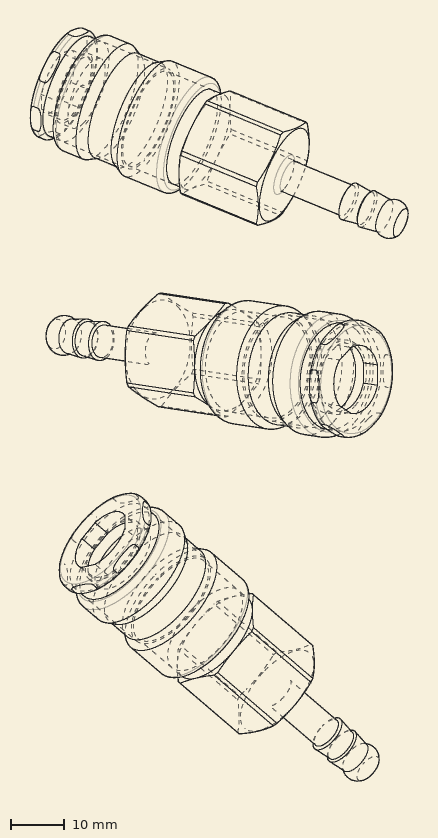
import cadquery as cq
import math


NOSE_LENGTH = 2.5
NOSE_DIAMETER = 21.9
NOSE_ACROSS_FLATS = 21.0
NOSE_FILLET = 0.8
NECK_DIAMETER = 20.0

BORE_DIAMETER = 12.8
INNER_BORE_DIAMETER = 14.0
BORE_DEPTH = 6.1
BORE_FLAT_COUNT = 3
BORE_FLAT_DISTANCE = 6.1
BORE_FLAT_DEPTH = 3.45

SLEEVE_START = 5.15
SLEEVE_END = 28.75
SLEEVE_DIAMETER = 23.15
SLEEVE_FRONT_FILLET = 1.1
SLEEVE_REAR_FILLET = 0.95
WAIST_DIAMETER = 21.0
FRONT_TAPER_START = 10.5
WAIST_START = 12.5
WAIST_END = 17.4
REAR_TAPER_END = 19.3

BARREL_DIAMETER = 18.95
SHOULDER = REAR_TAPER_END

HEX_START = 31.4
HEX_END = 48.5
HEX_ACROSS_FLATS = BARREL_DIAMETER
HEX_CORNER_DIAMETER = 21.4
HEX_FRONT_CHAMFER = 0.3
HEX_REAR_CHAMFER = 0.5
HEX_REAR_FACE_DIAMETER = 18.5

TAIL_DIAMETER = 6.1
TAIL_ROOT_FILLET = 0.9
BARB_CREST_DIAMETER = 7.35
BARB_VALLEY_DIAMETER = 6.5
BARB_START = 62.0
BARB_BACK_LENGTH = 0.3
BARB_PITCH = 4.0
BARB_COUNT = 2
BULB_CREST = 71.6
BULB_DIAMETER = 7.5
TAIL_END = 73.5
TAIL_TIP_DIAMETER = 5.6


def cylinder(start, end, diameter):
    """Cylinder on the X axis from start to end."""
    return cq.Workplane("YZ", origin=(start, 0, 0)).circle(diameter / 2).extrude(end - start)


def hexagonal_prism(start, end, across_flats):
    """Hexagonal prism on the X axis with two of its flats facing +Y and -Y."""
    across_corners = across_flats / math.cos(math.pi / 6)
    prism = cq.Workplane("YZ", origin=(start, 0, 0)).polygon(6, across_corners).extrude(end - start)
    return prism.rotate((0, 0, 0), (1, 0, 0), 30)


def revolve_about_x(profile):
    """Turn a closed half profile, drawn as (x, radius), about the X axis."""
    return profile.close().revolve(360, (0, 0, 0), (1, 0, 0))


def make_nose():
    """Round-edged ring with six wrench flats."""
    ring = cylinder(0, NOSE_LENGTH, NOSE_DIAMETER).edges().fillet(NOSE_FILLET)
    return ring.intersect(hexagonal_prism(0, NOSE_LENGTH, NOSE_ACROSS_FLATS))


def make_wrench_hexagon():
    """Hexagon with rounded-off corners and a conical chamfer at each end."""
    corner_radius = HEX_CORNER_DIAMETER / 2
    envelope = revolve_about_x(
        cq.Workplane("XY")
        .moveTo(HEX_START, 0)
        .lineTo(HEX_START, HEX_ACROSS_FLATS / 2)
        .lineTo(HEX_START + HEX_FRONT_CHAMFER, corner_radius)
        .lineTo(HEX_END - HEX_REAR_CHAMFER, corner_radius)
        .lineTo(HEX_END, HEX_REAR_FACE_DIAMETER / 2)
        .lineTo(HEX_END, 0)
    )
    return envelope.intersect(hexagonal_prism(HEX_START, HEX_END, HEX_ACROSS_FLATS))


def make_hose_tail():
    """Stem with a concave root fillet, a row of barbs and a rounded bulb at the tip."""
    stem_radius = TAIL_DIAMETER / 2
    crest_radius = BARB_CREST_DIAMETER / 2
    valley_radius = BARB_VALLEY_DIAMETER / 2
    root_offset = TAIL_ROOT_FILLET * (1 - math.sqrt(0.5))
    profile = (
        cq.Workplane("XY")
        .moveTo(HEX_END, 0)
        .lineTo(HEX_END, stem_radius + TAIL_ROOT_FILLET)
        .threePointArc(
            (HEX_END + root_offset, stem_radius + root_offset),
            (HEX_END + TAIL_ROOT_FILLET, stem_radius),
        )
        .lineTo(BARB_START, stem_radius)
    )
    for index in range(BARB_COUNT):
        barb_start = BARB_START + index * BARB_PITCH
        profile = profile.lineTo(barb_start + BARB_BACK_LENGTH, crest_radius)
        profile = profile.lineTo(barb_start + BARB_PITCH, valley_radius)
    profile = profile.threePointArc((BULB_CREST, BULB_DIAMETER / 2), (TAIL_END, TAIL_TIP_DIAMETER / 2))
    return revolve_about_x(profile.lineTo(TAIL_END, 0))


def make_mouth_bore():
    """Volume of the blind mouth bore: a narrower outer part with three flats, then a wider round part."""
    outer_part = cylinder(0, BORE_FLAT_DEPTH, BORE_DIAMETER)
    for index in range(BORE_FLAT_COUNT):
        beyond_flat = cq.Workplane("XY").box(
            BORE_FLAT_DEPTH, BORE_DIAMETER, BORE_DIAMETER, centered=(False, False, True)
        )
        beyond_flat = beyond_flat.translate((0, -BORE_FLAT_DISTANCE - BORE_DIAMETER, 0))
        angle = index * 360 / BORE_FLAT_COUNT
        outer_part = outer_part.cut(beyond_flat.rotate((0, 0, 0), (1, 0, 0), angle))
    return outer_part.union(cylinder(BORE_FLAT_DEPTH, BORE_DEPTH, INNER_BORE_DIAMETER))


def make_coupling_body():
    """Nose, neck, barrel, wrench hexagon and hose tail in one piece."""
    body = make_nose()
    body = body.union(cylinder(NOSE_LENGTH, SHOULDER, NECK_DIAMETER))
    body = body.union(cylinder(SHOULDER, HEX_START, BARREL_DIAMETER))
    body = body.union(make_wrench_hexagon())
    body = body.union(make_hose_tail())
    return body.cut(make_mouth_bore())


def make_sleeve():
    """Waisted sleeve whose stepped hole fits the neck and the barrel."""
    grip_radius = SLEEVE_DIAMETER / 2
    waist_radius = WAIST_DIAMETER / 2
    sleeve = revolve_about_x(
        cq.Workplane("XY")
        .moveTo(SLEEVE_START, 0)
        .lineTo(SLEEVE_START, grip_radius)
        .lineTo(FRONT_TAPER_START, grip_radius)
        .lineTo(WAIST_START, waist_radius)
        .lineTo(WAIST_END, waist_radius)
        .lineTo(REAR_TAPER_END, grip_radius)
        .lineTo(SLEEVE_END, grip_radius)
        .lineTo(SLEEVE_END, 0)
    )
    sleeve = sleeve.faces("<X").edges().fillet(SLEEVE_FRONT_FILLET)
    sleeve = sleeve.faces(">X").edges().fillet(SLEEVE_REAR_FILLET)
    sleeve = sleeve.cut(cylinder(SLEEVE_START, SHOULDER, NECK_DIAMETER))
    return sleeve.cut(cylinder(SHOULDER, SLEEVE_END, BARREL_DIAMETER))


coupling_body = make_coupling_body()
sleeve = make_sleeve()

result = cq.Compound.makeCompound([coupling_body.solids().val(), sleeve.solids().val()])